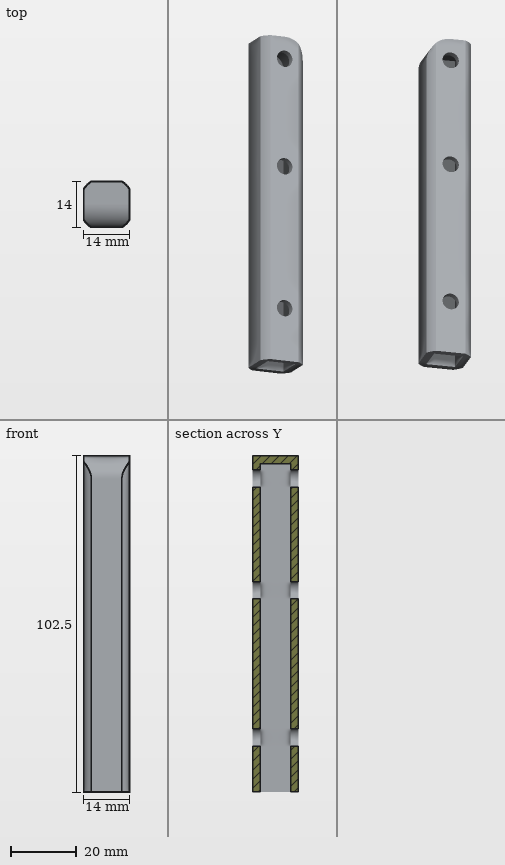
import cadquery as cq

length = 102.5
width = 14.0
corner_flat = 2.4
wall = 2.5
nose_radius = 7.0
hole_diameter = 5.1
hole_heights = (16.6, 61.5, 95.5)

half_width = width / 2


def nosed_bar(side, height, front_radius):
    """Square bar on Z = 0 whose top front edge is rounded."""
    return (
        cq.Workplane("XY")
        .rect(side, side)
        .extrude(height)
        .edges(">Z and <Y")
        .fillet(front_radius)
    )


corner_cylinder = (
    cq.Workplane("XY")
    .circle((half_width**2 + (half_width - corner_flat) ** 2) ** 0.5)
    .extrude(length)
)
outer = nosed_bar(width, length, nose_radius).intersect(corner_cylinder)

cavity = nosed_bar(width - 2 * wall, length - wall, nose_radius - wall)

holes = (
    cq.Workplane("YZ")
    .pushPoints([(0, height) for height in hole_heights])
    .circle(hole_diameter / 2)
    .extrude(half_width, both=True)
)

result = outer.cut(cavity).cut(holes)